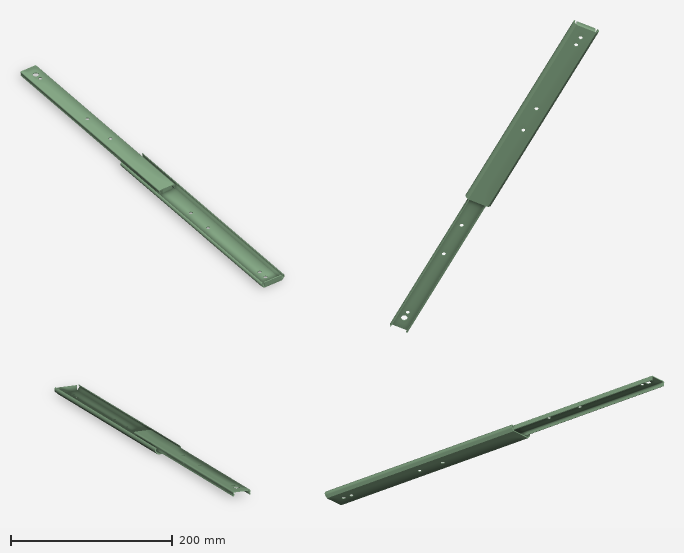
import cadquery as cq
import math

overall_length = 528.8
overall_width = 35.27
overall_height = 9.6
sheet = 1.2

outer_length = 305.0
outer_end_x = overall_length / 2
outer_start_x = outer_end_x - outer_length
base_half_width = 13.6
flange_angle = 45.0
race_radius = 3.4
race_tip_angle = 65.0
stop_height = 7.9
stop_half_width = 12.9

inner_length = 300.0
inner_start_x = -overall_length / 2
inner_end_x = inner_start_x + inner_length
top_half_width = 9.9
shoulder_half_width = 12.0
shoulder_z = 7.4
groove_half_width = 11.4
groove_z = 5.6
foot_half_width = 12.0
foot_z = 3.4
foot_flare = math.radians(15.0)
tab_bottom_z = 2.4
tab_half_width = 7.2
tab_root_radius = 2.0

hole_diameter = 5.0
access_hole_diameter = 8.0
access_hole_distance = 16.0
inner_hole_distances = [25.6, 127.5, 177.6]
outer_hole_distances = [16.0, 28.7, 140.2, 177.6]


def polar(centre, radius, degrees):
    """Point at an angle around a centre in the Y-Z section."""
    angle = math.radians(degrees)
    return (centre[0] + radius * math.cos(angle), centre[1] + radius * math.sin(angle))


def both_sides(half_section, x_start, length):
    """Extrude a half section (Y >= 0) along X and add its mirror image."""
    half = half_section.extrude(length).translate((x_start, 0, 0))
    return half.union(half.mirror("XZ"))


def drill(rail, diameter, x_places):
    """Drill vertical holes through a rail on its centre line."""
    cutter = (
        cq.Workplane("XY")
        .pushPoints([(x, 0) for x in x_places])
        .circle(diameter / 2)
        .extrude(overall_height)
    )
    return rail.cut(cutter)


def make_outer_rail():
    """Flat base with sloping flanges that curl into ball races, and a stop across the far end."""
    slope = math.radians(flange_angle)
    centre_y = overall_width / 2 - race_radius
    centre_z = (
        (centre_y - base_half_width) * math.tan(slope) + race_radius / math.cos(slope)
    )
    centre = (centre_y, centre_z)
    inside_radius = race_radius - sheet
    inside_corner_y = base_half_width - sheet * math.tan(slope / 2)
    slope_end_angle = flange_angle - 90
    middle_angle = (slope_end_angle + race_tip_angle) / 2

    section = (
        cq.Workplane("YZ")
        .moveTo(0, 0)
        .lineTo(base_half_width, 0)
        .lineTo(*polar(centre, race_radius, slope_end_angle))
        .threePointArc(
            polar(centre, race_radius, middle_angle),
            polar(centre, race_radius, race_tip_angle),
        )
        .lineTo(*polar(centre, inside_radius, race_tip_angle))
        .threePointArc(
            polar(centre, inside_radius, middle_angle),
            polar(centre, inside_radius, slope_end_angle),
        )
        .lineTo(inside_corner_y, sheet)
        .lineTo(0, sheet)
        .close()
    )
    rail = both_sides(section, outer_start_x, outer_length)
    stop = cq.Workplane("XY").box(
        sheet, 2 * stop_half_width, stop_height, centered=(False, True, False)
    )
    rail = rail.union(stop.translate((outer_end_x - sheet, 0, 0)))
    return drill(rail, hole_diameter, [outer_end_x - distance for distance in outer_hole_distances])


def make_inner_rail():
    """Downward channel whose legs carry a ball groove, and a tab bent down across the pulled-in end."""
    top_underside = overall_height - sheet
    inner_foot = (
        foot_half_width - sheet * math.cos(foot_flare),
        foot_z - sheet * math.sin(foot_flare),
    )
    outer_curve = [
        (top_half_width, overall_height),
        (shoulder_half_width, shoulder_z),
        (groove_half_width, groove_z),
        (foot_half_width, foot_z),
    ]
    inner_curve = [
        inner_foot,
        (groove_half_width - sheet, groove_z),
        (shoulder_half_width - sheet, shoulder_z),
        (top_half_width, top_underside),
    ]
    outward = (1, 0)
    down_foot = (math.sin(foot_flare), -math.cos(foot_flare))
    up_foot = (-down_foot[0], -down_foot[1])
    inward = (-1, 0)

    section = (
        cq.Workplane("YZ")
        .moveTo(0, overall_height)
        .lineTo(*outer_curve[0])
        .spline(outer_curve[1:], tangents=[outward, down_foot], includeCurrent=True)
        .lineTo(*inner_foot)
        .spline(inner_curve[1:], tangents=[up_foot, inward], includeCurrent=True)
        .lineTo(0, top_underside)
        .close()
    )
    rail = both_sides(section, inner_start_x, inner_length)

    root_half_width = tab_half_width + tab_root_radius
    root_z = top_underside - tab_root_radius
    rounding = tab_root_radius * (1 - math.sqrt(0.5))
    tab = (
        cq.Workplane("YZ")
        .moveTo(-root_half_width, top_underside)
        .threePointArc(
            (-tab_half_width - rounding, top_underside - rounding), (-tab_half_width, root_z)
        )
        .lineTo(-tab_half_width, tab_bottom_z)
        .lineTo(tab_half_width, tab_bottom_z)
        .lineTo(tab_half_width, root_z)
        .threePointArc(
            (tab_half_width + rounding, top_underside - rounding), (root_half_width, top_underside)
        )
        .close()
        .extrude(sheet)
    )
    rail = rail.union(tab.translate((inner_end_x - sheet, 0, 0)))
    rail = drill(rail, access_hole_diameter, [inner_start_x + access_hole_distance])
    return drill(rail, hole_diameter, [inner_start_x + distance for distance in inner_hole_distances])


outer_rail = make_outer_rail()
inner_rail = make_inner_rail()
result = cq.Compound.makeCompound([outer_rail.val(), inner_rail.val()])